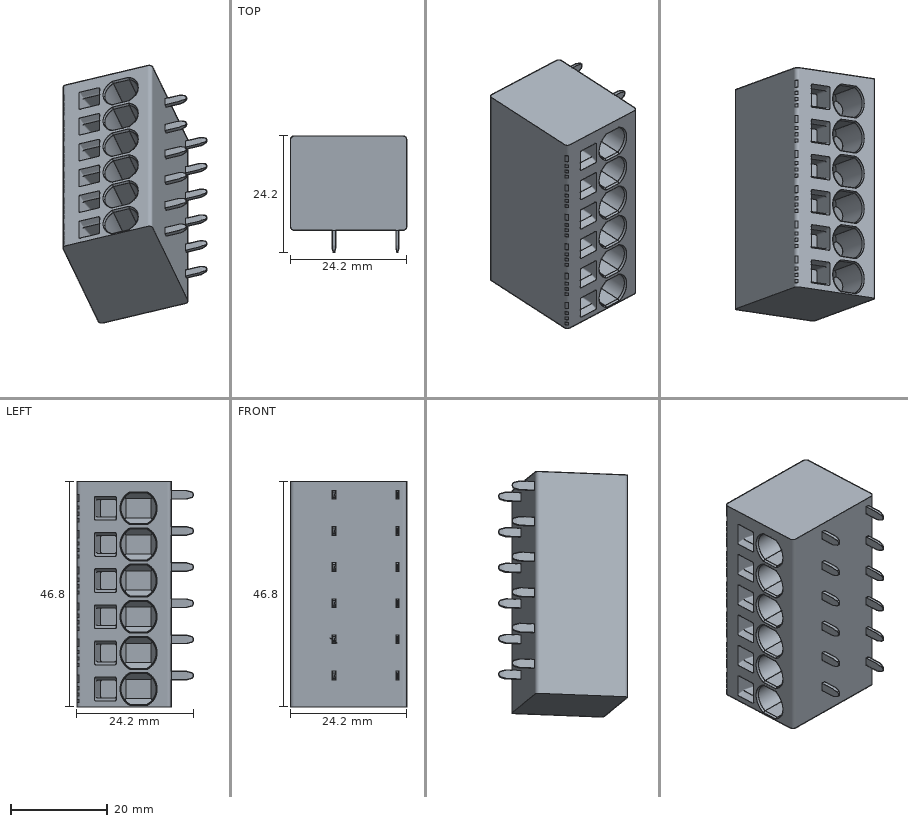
import cadquery as cq
import math


HOUSING_X = 24.15
HOUSING_Y = 19.6
HOUSING_Z = 46.8
EDGE_RADIUS = 0.8

POLE_COUNT = 6
POLE_PITCH = 7.5
TOP_POLE_SETBACK = 5.57
TOP_POLE_Z = HOUSING_Z - TOP_POLE_SETBACK
POLE_HEIGHTS = [TOP_POLE_Z - i * POLE_PITCH for i in range(POLE_COUNT)]

ENTRY_Y = 6.78
ENTRY_MOUTH_DIAMETER = 7.7
ENTRY_MOUTH_HEIGHT = 6.8
ENTRY_CHAMFER_WIDTH = 0.2
ENTRY_CHAMFER_DEPTH = 0.5
ENTRY_DIAMETER = ENTRY_MOUTH_DIAMETER - 2 * ENTRY_CHAMFER_WIDTH
ENTRY_HEIGHT = ENTRY_MOUTH_HEIGHT - 2 * ENTRY_CHAMFER_WIDTH
ENTRY_STRAIGHT_DEPTH = 8.0
FLOOR_Y = 6.8
FLOOR_WIDTH = 5.2
FLOOR_HEIGHT = 4.0
FUNNEL_DEPTH = 1.8

POCKET_Y = 13.65
POCKET_WIDTH = 4.5
POCKET_HEIGHT = 4.95
POCKET_CORNER_RADIUS = 0.3
SAME_DEPTH = 0.001
MOUTH_DEPTH = 1.15
MOUTH_RISE = 0.45
STEP_DEPTH = 0.3
STEP_RISE = 0.18
POCKET_DEPTH = 5.0
FAR_WALL_RUN = 1.25

NOTCH_DEPTH = 0.5
NOTCH_REACH = 0.65
LONG_NOTCH = 1.5
SHORT_NOTCH = 0.67
SHORT_NOTCH_PITCH = 1.34
LONG_NOTCH_TOP = 2.87
FIRST_SHORT_NOTCH_TOP = 0.52
SHORT_NOTCH_COUNT = 3

PIN_LENGTH = 4.6
PIN_HEIGHT = 1.8
PIN_TIP_HEIGHT = 1.15
PIN_ABOVE_POLE = 2.8
PIN_COLUMNS = [(9.03, 0.78), (22.2, 0.65)]
PIN_TIP_THINNING = 0.45
PIN_SHOULDER = 3.15
PIN_THINNING_START = 3.65
PIN_ROUND_START = 4.3
PIN_EMBED = 0.5


def make_housing():
    body = cq.Workplane("XY").box(HOUSING_X, HOUSING_Y, HOUSING_Z, centered=False)
    return body.edges("|Z").fillet(EDGE_RADIUS)


def rectangle_wire(x, y, z, width, height):
    return cq.Workplane("YZ", origin=(x, y, z)).rect(width, height).wire().val()


def flatted_circle_wire(x, y, z, diameter, height):
    radius = diameter / 2
    half_height = height / 2
    half_flat = math.sqrt(radius**2 - half_height**2)
    return (
        cq.Workplane("YZ", origin=(x, y, z))
        .moveTo(-half_flat, -half_height)
        .lineTo(half_flat, -half_height)
        .threePointArc((radius, 0), (half_flat, half_height))
        .lineTo(-half_flat, half_height)
        .threePointArc((-radius, 0), (-half_flat, -half_height))
        .close()
        .wire()
        .val()
    )


def ruled_solid(near, far):
    return cq.Workplane(cq.Solid.makeLoft([near, far], True))


def make_wire_entry(z):
    floor_depth = ENTRY_STRAIGHT_DEPTH + FUNNEL_DEPTH
    mouth = ruled_solid(
        flatted_circle_wire(0, ENTRY_Y, z, ENTRY_MOUTH_DIAMETER, ENTRY_MOUTH_HEIGHT),
        flatted_circle_wire(ENTRY_CHAMFER_DEPTH, ENTRY_Y, z, ENTRY_DIAMETER, ENTRY_HEIGHT),
    )
    shaft = ruled_solid(
        flatted_circle_wire(ENTRY_CHAMFER_DEPTH, ENTRY_Y, z, ENTRY_DIAMETER, ENTRY_HEIGHT),
        flatted_circle_wire(floor_depth, ENTRY_Y, z, ENTRY_DIAMETER, ENTRY_HEIGHT),
    )
    straight = ruled_solid(
        rectangle_wire(0, ENTRY_Y, z, ENTRY_DIAMETER, ENTRY_HEIGHT),
        rectangle_wire(ENTRY_STRAIGHT_DEPTH, ENTRY_Y, z, ENTRY_DIAMETER, ENTRY_HEIGHT),
    )
    funnel = ruled_solid(
        rectangle_wire(ENTRY_STRAIGHT_DEPTH, ENTRY_Y, z, ENTRY_DIAMETER, ENTRY_HEIGHT),
        rectangle_wire(floor_depth, FLOOR_Y, z, FLOOR_WIDTH, FLOOR_HEIGHT),
    )
    return shaft.intersect(straight.union(funnel)).union(mouth)


def make_release_pocket(z):
    low_y = POCKET_Y - POCKET_WIDTH / 2
    high_y = POCKET_Y + POCKET_WIDTH / 2
    half = POCKET_HEIGHT / 2
    inner_half = half - MOUTH_RISE - STEP_RISE
    step_end = MOUTH_DEPTH + STEP_DEPTH
    section = (
        cq.Workplane("XZ")
        .polyline([
            (0, z - half),
            (MOUTH_DEPTH, z - half + MOUTH_RISE),
            (step_end, z - inner_half),
            (POCKET_DEPTH, z - inner_half),
            (POCKET_DEPTH, z + inner_half),
            (step_end, z + inner_half),
            (MOUTH_DEPTH, z + half - MOUTH_RISE),
            (0, z + half),
        ])
        .close()
        .extrude(-HOUSING_Y)
    )
    plan = (
        cq.Workplane("XY")
        .polyline([
            (0, low_y),
            (POCKET_DEPTH, low_y),
            (POCKET_DEPTH, high_y - FAR_WALL_RUN),
            (0, high_y),
        ])
        .close()
        .extrude(HOUSING_Z)
    )
    pocket = section.intersect(plan)
    lengthwise = [e for e in pocket.edges().vals() if abs(e.startPoint().x - e.endPoint().x) > SAME_DEPTH]
    return pocket.newObject(lengthwise).fillet(POCKET_CORNER_RADIUS)


def make_notch(z_top, height):
    ramp = [(0, HOUSING_Y - NOTCH_DEPTH), (NOTCH_REACH, HOUSING_Y), (0, HOUSING_Y)]
    return cq.Workplane("XY", origin=(0, 0, z_top - height)).polyline(ramp).close().extrude(height)


def make_pole_notches(z):
    notches = make_notch(z + LONG_NOTCH_TOP, LONG_NOTCH)
    for i in range(SHORT_NOTCH_COUNT):
        top = z + FIRST_SHORT_NOTCH_TOP - i * SHORT_NOTCH_PITCH
        notches = notches.union(make_notch(top, SHORT_NOTCH))
    return notches


def make_pin(x, z, thickness):
    half_height = PIN_HEIGHT / 2
    half_tip = PIN_TIP_HEIGHT / 2
    half = thickness / 2
    half_end = half - PIN_TIP_THINNING / 2
    side = (
        cq.Workplane("YZ")
        .moveTo(PIN_EMBED, -half_height)
        .lineTo(-PIN_SHOULDER, -half_height)
        .lineTo(-PIN_ROUND_START, -half_tip)
        .threePointArc((-PIN_LENGTH, 0), (-PIN_ROUND_START, half_tip))
        .lineTo(-PIN_SHOULDER, half_height)
        .lineTo(PIN_EMBED, half_height)
        .close()
        .extrude(half, both=True)
    )
    plan = (
        cq.Workplane("XY")
        .polyline([
            (-half, PIN_EMBED),
            (-half, -PIN_THINNING_START),
            (-half_end, -PIN_LENGTH),
            (half_end, -PIN_LENGTH),
            (half, -PIN_THINNING_START),
            (half, PIN_EMBED),
        ])
        .close()
        .extrude(half_height, both=True)
    )
    return side.intersect(plan).translate((x, 0, z))


result = make_housing()
for pole_z in POLE_HEIGHTS:
    result = result.cut(make_wire_entry(pole_z))
    result = result.cut(make_release_pocket(pole_z))
    result = result.cut(make_pole_notches(pole_z))
    for pin_x, pin_thickness in PIN_COLUMNS:
        result = result.union(make_pin(pin_x, pole_z + PIN_ABOVE_POLE, pin_thickness))